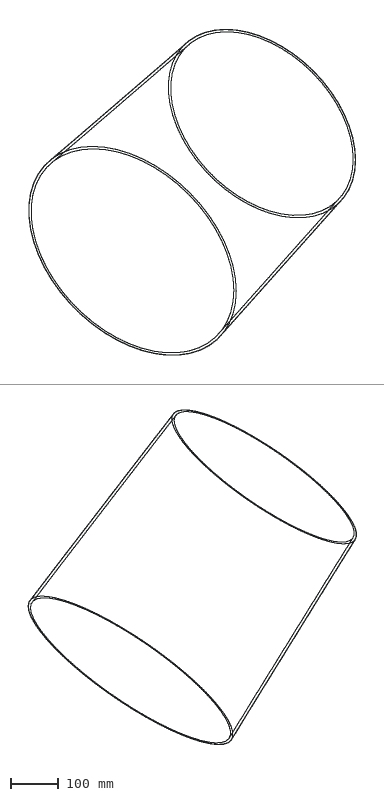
import cadquery as cq

length = 508.0
large_outer_diameter = 512.0
small_outer_diameter = 462.0
wall_thickness = 6.0


def cone_frustum(large_diameter, small_diameter):
    """Solid frustum from the large end at y = 0 to the small end at y = length."""
    return (
        cq.Workplane("XZ")
        .circle(large_diameter / 2)
        .workplane(offset=-length)
        .circle(small_diameter / 2)
        .loft(ruled=True)
    )


outer_cone = cone_frustum(large_outer_diameter, small_outer_diameter)
bore = cone_frustum(
    large_outer_diameter - 2 * wall_thickness,
    small_outer_diameter - 2 * wall_thickness,
)

result = outer_cone.cut(bore)